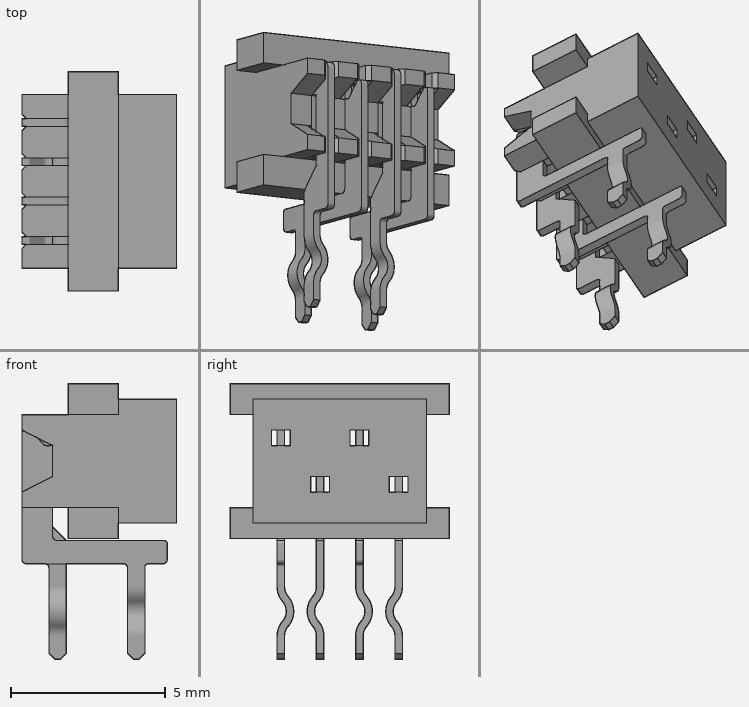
import cadquery as cq
import math

total_height = 8.9
total_depth = 5.0

flange_width = 7.08
flange_height = 5.0
flange_front_x = 1.495
flange_back_x = 3.115
body_width = 5.62
front_height = 3.0
back_height = 4.005
mid_z = total_height - flange_height / 2
housing_top_z = mid_z + front_height / 2
housing_bottom_z = mid_z - front_height / 2

notch_depth = 1.0
notch_mouth_height = 2.0
notch_floor_height = 1.0
notch_mouth_top_z = mid_z + notch_mouth_height / 2
notch_floor_top_z = mid_z + notch_floor_height / 2

window_width = 0.6
window_height = (notch_mouth_height - notch_floor_height) / 2
window_offset_z = (notch_mouth_height + notch_floor_height) / 4
mouth_chamfer = 0.14

pin_thickness = 0.25
pin_count = 4
leg_row_spacing = 2.54
pin_pitch = leg_row_spacing / 2
slot_depth = 1.64
stem_width = 1.0
hook_stem_width = 0.72
foot_z = 3.08
foot_top_z = 3.84
foot_length = 4.7

leg_width = 0.57
front_leg_x = 0.87
back_leg_x = front_leg_x + leg_row_spacing
tip_chamfer = 0.2

bend_top_z = 2.34
bend_half_height = 0.79
bend_angle = 41.0
bend_end_radius = 0.47

head_radius = 0.25
nose_radius = 0.125
root_radius = 0.125
arm_radius = 0.1
stem_radius = 0.15
nose_top_z = notch_mouth_top_z
nose_crest_x = 0.25
nose_drop = 0.51


def block(x_start, x_end, width, height, centre_y, centre_z):
    """Box between two X positions, centred at the given Y and Z."""
    return cq.Workplane("XY").box(x_end - x_start, width, height).translate(
        ((x_start + x_end) / 2, centre_y, centre_z)
    )


def round_corners(plate, corners, radius):
    """Round the edges of an XZ plate that cross its thickness at the given (x, z) corners."""
    for x, z in corners:
        plate = plate.edges(cq.selectors.NearestToPointSelector((x, 0, z))).fillet(radius)
    return plate


def side_notch():
    """Tapered recess that crosses the front face along Y."""
    outline = [
        (0, notch_mouth_top_z),
        (notch_depth, notch_floor_top_z),
        (notch_depth, notch_floor_top_z - notch_floor_height),
        (0, notch_mouth_top_z - notch_mouth_height),
    ]
    return cq.Workplane("XZ").polyline(outline).close().extrude(body_width / 2, both=True)


def pin_slot(y):
    """Full-height slot for one pin, with a chamfered mouth at the front face."""
    half_slot = pin_thickness / 2
    half_mouth = half_slot + mouth_chamfer
    outline = [
        (0, y - half_mouth),
        (mouth_chamfer, y - half_slot),
        (slot_depth, y - half_slot),
        (slot_depth, y + half_slot),
        (mouth_chamfer, y + half_slot),
        (0, y + half_mouth),
    ]
    slot = cq.Workplane("XY").polyline(outline).close().extrude(front_height)
    return slot.translate((0, 0, housing_bottom_z))


def window(y, side):
    """Through window beside a pin: side is +1 above the middle of the housing, -1 below it."""
    return block(0, total_depth, window_width, window_height, y, mid_z + side * window_offset_z)


def make_housing(front_leg_rows, back_leg_rows):
    body = block(0, total_depth, body_width, front_height, 0, mid_z)
    back = block(flange_back_x, total_depth, body_width, back_height, 0, mid_z)
    flange = block(flange_front_x, flange_back_x, flange_width, flange_height, 0, mid_z)
    flange_gap = block(flange_front_x, flange_back_x, flange_width, front_height, 0, mid_z)
    housing = body.union(flange.cut(flange_gap)).union(back).cut(side_notch())
    for y in front_leg_rows:
        housing = housing.cut(pin_slot(y)).cut(window(y, -1))
    for y in back_leg_rows:
        housing = housing.cut(pin_slot(y)).cut(window(y, 1))
    return housing


def bent_leg(leg_x, bump_side):
    """Leg that bows sideways in three tangent arcs and ends in a chamfered tip."""
    half = pin_thickness / 2
    sine = math.sin(math.radians(bend_angle))
    cosine = math.cos(math.radians(bend_angle))
    half_sine = math.sin(math.radians(bend_angle / 2))
    half_cosine = math.cos(math.radians(bend_angle / 2))
    peak_z = bend_top_z - bend_half_height
    end_z = peak_z - bend_half_height
    radius_sum = bend_half_height / sine
    bow = radius_sum * (1 - cosine)

    def face_points(face, end_radius):
        start = face * half
        mid_arc = (start + end_radius * (1 - half_cosine), bend_top_z - end_radius * half_sine)
        join = (start + end_radius * (1 - cosine), bend_top_z - end_radius * sine)
        peak = (start + bow, peak_z)
        points = [(start, bend_top_z), mid_arc, join, peak]
        mirrored = [(s, 2 * peak_z - z) for s, z in points[2::-1]]
        return [(bump_side * s, z) for s, z in points + mirrored]

    outer = face_points(1, bend_end_radius)
    inner = face_points(-1, bend_end_radius + pin_thickness)[::-1]
    leg = (
        cq.Workplane("YZ")
        .moveTo(*outer[0])
        .threePointArc(outer[1], outer[2])
        .threePointArc(outer[3], outer[4])
        .threePointArc(outer[5], outer[6])
        .lineTo(bump_side * half, 0)
        .lineTo(-bump_side * half, 0)
        .lineTo(-bump_side * half, end_z)
        .threePointArc(inner[1], inner[2])
        .threePointArc(inner[3], inner[4])
        .threePointArc(inner[5], inner[6])
        .close()
        .extrude(leg_width)
    )
    return leg.faces("<Z").edges("|Y").chamfer(tip_chamfer).translate((leg_x, 0, 0))


def pin_plate(outline):
    """Flat XZ plate centred on Y = 0."""
    return cq.Workplane("XZ").polyline(outline).close().extrude(pin_thickness / 2, both=True)


def front_leg_pin():
    """Hook-shaped pin whose leg stands right below the stem and bows toward -Y."""
    leg_back_x = front_leg_x + leg_width
    outline = [
        (0, foot_z),
        (0, housing_top_z),
        (slot_depth, housing_top_z),
        (slot_depth, housing_bottom_z),
        (notch_depth, housing_bottom_z),
        (notch_depth, notch_floor_top_z),
        (hook_stem_width, notch_floor_top_z),
        (hook_stem_width, foot_top_z + leg_back_x - hook_stem_width),
        (leg_back_x, foot_top_z),
        (leg_back_x, bend_top_z),
        (front_leg_x, bend_top_z),
        (front_leg_x, foot_z),
    ]
    plate = pin_plate(outline)
    plate = round_corners(plate, [(0, housing_top_z), (slot_depth, housing_top_z)], head_radius)
    plate = round_corners(plate, [(0, foot_z)], stem_radius)
    plate = round_corners(plate, [(front_leg_x, foot_z)], root_radius)
    return plate.union(bent_leg(front_leg_x, -1))


def back_leg_pin():
    """Pin with a long foot to a leg at the back; its nose is notched and its leg bows toward +Y."""
    valley_z = nose_top_z - nose_drop
    valley_x = nose_crest_x + nose_drop
    leg_back_x = back_leg_x + leg_width
    outline = [
        (0, foot_z),
        (0, nose_top_z),
        (nose_crest_x, nose_top_z),
        (valley_x, valley_z),
        (stem_width, valley_z),
        (stem_width, housing_top_z),
        (slot_depth, housing_top_z),
        (slot_depth, housing_bottom_z),
        (stem_width, housing_bottom_z),
        (stem_width, foot_top_z),
        (foot_length, foot_top_z),
        (foot_length, foot_z),
        (leg_back_x, foot_z),
        (leg_back_x, bend_top_z),
        (back_leg_x, bend_top_z),
        (back_leg_x, foot_z),
    ]
    nose_corners = [(0, nose_top_z), (nose_crest_x, nose_top_z), (valley_x, valley_z), (stem_width, valley_z)]
    stem_corners = [(0, foot_z), (stem_width, foot_top_z), (foot_length, foot_z)]
    arm_corners = [(foot_length, foot_top_z), (leg_back_x, foot_z)]
    plate = pin_plate(outline)
    plate = round_corners(plate, [(stem_width, housing_top_z)], head_radius)
    plate = round_corners(plate, nose_corners, nose_radius)
    plate = round_corners(plate, stem_corners, stem_radius)
    plate = round_corners(plate, arm_corners, arm_radius)
    plate = round_corners(plate, [(back_leg_x, foot_z)], root_radius)
    return plate.union(bent_leg(back_leg_x, 1))


pin_rows = [((pin_count - 1) / 2 - i) * pin_pitch for i in range(pin_count)]
front_leg_rows = pin_rows[0::2]
back_leg_rows = pin_rows[1::2]

housing = make_housing(front_leg_rows, back_leg_rows)
front_leg_pins = [front_leg_pin().translate((0, y, 0)) for y in front_leg_rows]
back_leg_pins = [back_leg_pin().translate((0, y, 0)) for y in back_leg_rows]

result = cq.Compound.makeCompound(
    [housing.val(), *[pin.val() for pin in front_leg_pins + back_leg_pins]]
)